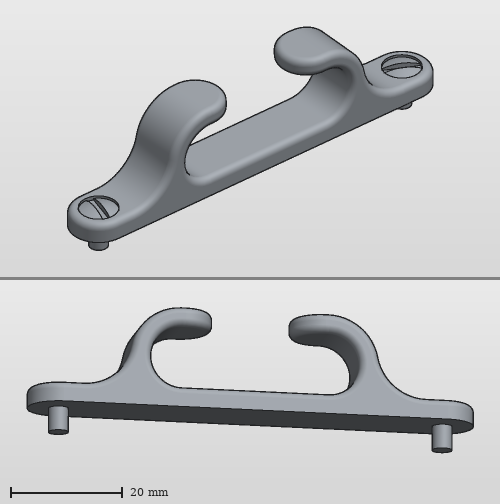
import cadquery as cq
import math

length = 81.1
width = 11.2
base_thickness = 3.7
body_height = 18.5
hook_thickness = 3.6
edge_fillet = 1.3

throat_center_y = 13.4
tip_y = 7.1
foot_start_y = 31.1

end_radius = width / 2
half_length = length / 2
hook_underside_z = body_height - hook_thickness
throat_radius = (hook_underside_z - base_thickness) / 2
throat_center_z = base_thickness + throat_radius
hook_radius = throat_radius + hook_thickness

foot_offset_y = foot_start_y - throat_center_y
foot_radius = (foot_offset_y**2 + throat_radius**2 - hook_radius**2) / (2 * (throat_radius + hook_radius))
foot_center_z = base_thickness + foot_radius
blend_angle = math.atan2(foot_center_z - throat_center_z, foot_offset_y)

screw_y = half_length - end_radius
head_radius = 3.65
head_depth = 1.6
rim_recess = 0.5
dome_height = 0.7
shank_radius = 1.8
shank_projection = 4.4
slot_width = 1.4
slot_depth = 1.05
screw_placements = [(screw_y, 64), (-screw_y, -14)]
rim_z = base_thickness - rim_recess
seat_z = rim_z - head_depth

dome_radius = (head_radius**2 + dome_height**2) / (2 * dome_height)
dome_half_angle = math.asin(head_radius / dome_radius)
dome_center_z = rim_z + dome_height - dome_radius
dome_middle = (
    dome_radius * math.sin(dome_half_angle / 2),
    dome_center_z + dome_radius * math.cos(dome_half_angle / 2),
)


def arc_point(center_y, center_z, radius, angle):
    """Point (y, z) on a circle; the angle is in radians from +Y toward +Z."""
    return (center_y + radius * math.cos(angle), center_z + radius * math.sin(angle))


def hook_half_profile():
    """Side outline of the +Y half, extruded across the width."""
    hook_middle = arc_point(throat_center_y, throat_center_z, hook_radius, (blend_angle + math.pi / 2) / 2)
    blend = arc_point(throat_center_y, throat_center_z, hook_radius, blend_angle)
    foot_middle_angle = (math.pi + blend_angle + 1.5 * math.pi) / 2
    foot_middle = arc_point(foot_start_y, foot_center_z, foot_radius, foot_middle_angle)
    return (
        cq.Workplane("YZ")
        .moveTo(0, 0)
        .lineTo(half_length, 0)
        .lineTo(half_length, base_thickness)
        .lineTo(foot_start_y, base_thickness)
        .threePointArc(foot_middle, blend)
        .threePointArc(hook_middle, (throat_center_y, body_height))
        .lineTo(tip_y, body_height)
        .lineTo(tip_y, hook_underside_z)
        .lineTo(throat_center_y, hook_underside_z)
        .threePointArc(
            (throat_center_y + throat_radius, throat_center_z),
            (throat_center_y, base_thickness),
        )
        .lineTo(0, base_thickness)
        .close()
        .extrude(end_radius, both=True)
    )


def make_fairlead():
    """Base bar and both hooks, with rounded ends and tips and a seat for each screw."""
    half = hook_half_profile()
    base_plan = cq.Workplane("XY").slot2D(length, width, 90).extrude(body_height)
    half = half.intersect(base_plan)
    tip_plan = (
        cq.Workplane("XY", origin=(0, 0, throat_center_z))
        .moveTo(-end_radius, half_length)
        .lineTo(-end_radius, tip_y + end_radius)
        .threePointArc((0, tip_y), (end_radius, tip_y + end_radius))
        .lineTo(end_radius, half_length)
        .close()
        .extrude(body_height)
    )
    lower_zone = cq.Workplane("XY").box(width, length, throat_center_z, centered=(True, True, False))
    half = half.intersect(lower_zone.union(tip_plan))
    body = half.union(half.mirror("XZ")).clean()

    body = body.edges("not(<Z or |Z or |X)").fillet(edge_fillet)
    for y, _ in screw_placements:
        body = body.cut(screw_hole(y))
    return body


def screw_hole(y):
    """Counterbored clearance volume that fits the shank and head of one screw."""
    shank_hole = cq.Workplane("XY", origin=(0, y, 0)).circle(shank_radius).extrude(seat_z)
    head_seat = cq.Workplane("XY", origin=(0, y, seat_z)).circle(head_radius).extrude(base_thickness - seat_z)
    return shank_hole.union(head_seat)


def screw_blank(y):
    """Unslotted screw: a shank under a cylindrical head with a shallow domed top."""
    return (
        cq.Workplane("XZ")
        .moveTo(0, -shank_projection)
        .lineTo(shank_radius, -shank_projection)
        .lineTo(shank_radius, seat_z)
        .lineTo(head_radius, seat_z)
        .lineTo(head_radius, rim_z)
        .threePointArc(dome_middle, (0, rim_z + dome_height))
        .close()
        .revolve(360, (0, 0, 0), (0, 1, 0))
        .translate((0, y, 0))
    )


def make_screw(y, slot_angle):
    """Screw with a straight driver slot across its head."""
    slot = (
        cq.Workplane("XY", origin=(0, y, rim_z + dome_height - slot_depth))
        .transformed(rotate=(0, 0, slot_angle))
        .rect(2 * head_radius + slot_width, slot_width)
        .extrude(slot_depth)
    )
    return screw_blank(y).cut(slot)


fairlead = make_fairlead()
screws = [make_screw(y, slot_angle) for y, slot_angle in screw_placements]

result = cq.Compound.makeCompound([fairlead.val(), *[screw.val() for screw in screws]])